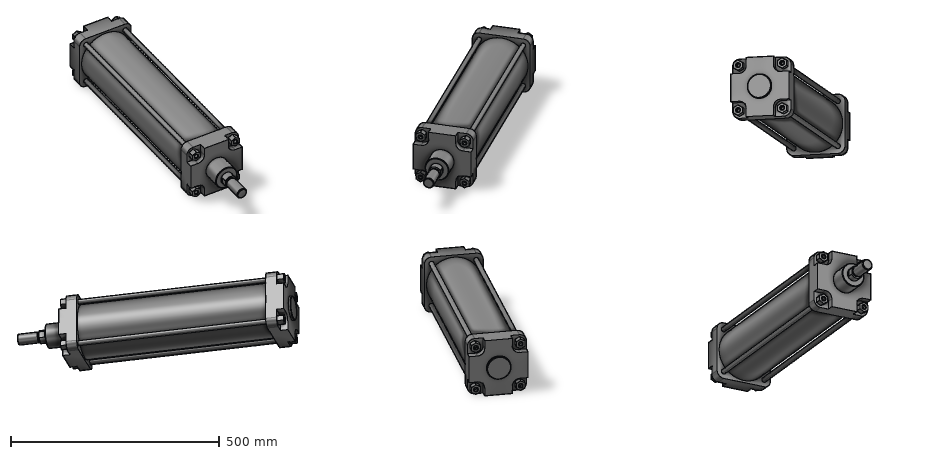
import cadquery as cq
import math


HEAD_WIDTH = 145.0
HEAD_LENGTH = 45.0
TIE_OFFSET = 55.0
HEAD_CORNER_RADIUS = HEAD_WIDTH / 2 - TIE_OFFSET
POCKET_WIDTH = 38.5
POCKET_DEPTH = 18.0
POCKET_RADIUS = 18.0

BOSS_DIAMETER = 59.5
REAR_BOSS_LENGTH = 6.0
REAR_BOSS_CHAMFER = 1.5
FRONT_BOSS_LENGTH = 46.0
FRONT_BOSS_CHAMFER = 1.5

BARREL_DIAMETER = 134.0
BARREL_LENGTH = 470.0

TIE_DIAMETER = 12.0
NUT_ACROSS_FLATS = 22.0
NUT_HEIGHT = 15.5
SOCKET_DIAMETER = 9.0
SOCKET_DEPTH = 10.0
SOCKET_CHAMFER = (TIE_DIAMETER - SOCKET_DIAMETER) / 2

ROD_DIAMETER = 32.0
ROD_FLATS_WIDTH = 28.0
COLLAR_LENGTH = 4.0
FLATS_LENGTH = 14.5
NECK_DIAMETER = 23.5
NECK_LENGTH = 2.5
THREAD_DIAMETER = 27.0
THREAD_CHAMFER = 2.0
OVERALL_LENGTH = 685.0

REAR_HEAD_START = REAR_BOSS_LENGTH
BARREL_START = REAR_HEAD_START + HEAD_LENGTH
FRONT_HEAD_START = BARREL_START + BARREL_LENGTH
FRONT_HEAD_END = FRONT_HEAD_START + HEAD_LENGTH
FRONT_BOSS_END = FRONT_HEAD_END + FRONT_BOSS_LENGTH
FLATS_START = FRONT_BOSS_END + COLLAR_LENGTH
NECK_START = FLATS_START + FLATS_LENGTH
THREAD_START = NECK_START + NECK_LENGTH
REAR_POCKET_FLOOR = REAR_HEAD_START + POCKET_DEPTH
FRONT_POCKET_FLOOR = FRONT_HEAD_END - POCKET_DEPTH

CORNER_SIGNS = [(sy, sz) for sy in (-1, 1) for sz in (-1, 1)]


def plane_at(x):
    """YZ plane at station x, facing +X."""
    return cq.Workplane("YZ", origin=(x, 0, 0))


def cylinder(diameter, start, end):
    return plane_at(start).circle(diameter / 2).extrude(end - start)


def make_head_block(start, pocket_start):
    """Square head with rounded corners, four nut pockets and four tie-rod holes."""
    block = plane_at(start).rect(HEAD_WIDTH, HEAD_WIDTH).extrude(HEAD_LENGTH)
    block = block.edges("|X").fillet(HEAD_CORNER_RADIUS)
    pockets = (
        plane_at(pocket_start)
        .rect(HEAD_WIDTH, HEAD_WIDTH, forConstruction=True)
        .vertices()
        .rect(2 * POCKET_WIDTH, 2 * POCKET_WIDTH)
        .extrude(POCKET_DEPTH)
        .edges("|X")
        .fillet(POCKET_RADIUS)
    )
    holes = (
        plane_at(start)
        .rect(2 * TIE_OFFSET, 2 * TIE_OFFSET, forConstruction=True)
        .vertices()
        .circle(TIE_DIAMETER / 2)
        .extrude(HEAD_LENGTH)
    )
    return block.cut(pockets).cut(holes)


def make_rear_head():
    boss = cylinder(BOSS_DIAMETER, 0, REAR_HEAD_START)
    boss = boss.faces("<X").chamfer(REAR_BOSS_CHAMFER)
    return make_head_block(REAR_HEAD_START, REAR_HEAD_START).union(boss)


def make_front_head():
    boss = cylinder(BOSS_DIAMETER, FRONT_HEAD_END, FRONT_BOSS_END)
    boss = boss.faces(">X").chamfer(FRONT_BOSS_CHAMFER)
    bore = cylinder(ROD_DIAMETER, FRONT_HEAD_START, FRONT_BOSS_END)
    return make_head_block(FRONT_HEAD_START, FRONT_POCKET_FLOOR).union(boss).cut(bore)


def make_barrel():
    return cylinder(BARREL_DIAMETER, BARREL_START, FRONT_HEAD_START)


def make_nut(start):
    """Hexagon nut with corners pointing along Z."""
    return (
        plane_at(start)
        .transformed(rotate=(0, 0, 90))
        .polygon(6, NUT_ACROSS_FLATS / math.cos(math.pi / 6))
        .extrude(NUT_HEIGHT)
    )


def make_tie_rod(y, z):
    """Rod with a nut at each end and a countersunk blind hole in each outer face."""
    rear_end = REAR_POCKET_FLOOR - NUT_HEIGHT
    front_end = FRONT_POCKET_FLOOR + NUT_HEIGHT
    rod = cylinder(TIE_DIAMETER, REAR_POCKET_FLOOR, FRONT_POCKET_FLOOR)
    rod = rod.union(make_nut(rear_end)).union(make_nut(FRONT_POCKET_FLOOR))
    rod = rod.cut(cylinder(SOCKET_DIAMETER, rear_end, rear_end + SOCKET_DEPTH))
    rod = rod.cut(cylinder(SOCKET_DIAMETER, front_end - SOCKET_DEPTH, front_end))
    rod = rod.faces("<X or >X").edges("%CIRCLE").chamfer(SOCKET_CHAMFER)
    return rod.translate((0, y, z))


def make_piston_rod():
    shank = cylinder(ROD_DIAMETER, FRONT_HEAD_START, FLATS_START)
    flats = (
        plane_at(FLATS_START)
        .rect(ROD_FLATS_WIDTH, ROD_DIAMETER)
        .extrude(FLATS_LENGTH)
    )
    wrench_section = cylinder(ROD_DIAMETER, FLATS_START, NECK_START).intersect(flats)
    neck = cylinder(NECK_DIAMETER, NECK_START, THREAD_START)
    thread = cylinder(THREAD_DIAMETER, THREAD_START, OVERALL_LENGTH)
    thread = thread.faces("<X or >X").chamfer(THREAD_CHAMFER)
    return shank.union(wrench_section).union(neck).union(thread)


rear_head = make_rear_head()
front_head = make_front_head()
barrel = make_barrel()
piston_rod = make_piston_rod()
tie_rods = [make_tie_rod(sy * TIE_OFFSET, sz * TIE_OFFSET) for sy, sz in CORNER_SIGNS]

result = cq.Compound.makeCompound(
    [rear_head.val(), front_head.val(), barrel.val(), piston_rod.val()]
    + [tie_rod.val() for tie_rod in tie_rods]
)